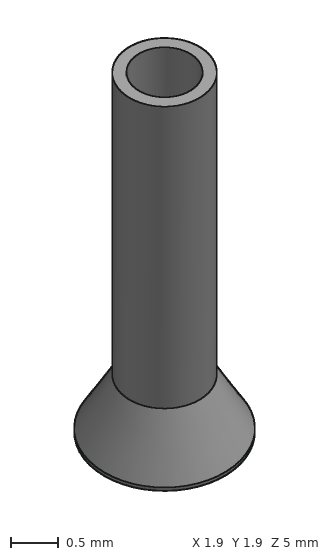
import cadquery as cq

total_height = 5.0
head_diameter = 1.9
tube_diameter = 1.1
bore_diameter = 0.8
head_height = 0.8
rim_height = 0.05

head_radius = head_diameter / 2
tube_radius = tube_diameter / 2
bore_radius = bore_diameter / 2

half_section = (
    cq.Workplane("XZ")
    .moveTo(bore_radius, 0)
    .lineTo(head_radius, 0)
    .lineTo(head_radius, rim_height)
    .lineTo(tube_radius, head_height)
    .lineTo(tube_radius, total_height)
    .lineTo(bore_radius, total_height)
    .close()
)

result = half_section.revolve(360, (0, 0, 0), (0, 1, 0))